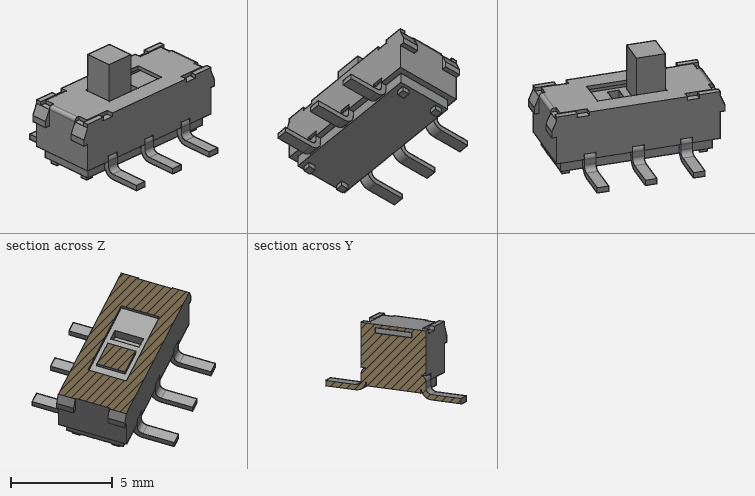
import cadquery as cq

HOUSING_WIDTH = 3.6
HOUSING_LENGTH = 8.5
HOUSING_BOTTOM = 0.9
HOUSING_TOP = 3.5
TOP_EDGE_RADIUS = 0.2

BASE_LENGTH = 7.88
BASE_BOTTOM = 0.28
PEG_SIZE = 0.4
PEG_SPACING_X = 2.1
PEG_SPACING_Y = 7.16

CLIP_WIDTH = 0.9
CLIP_SLOPE_BOTTOM = 2.72
CLIP_BOTTOM = 2.38
OVERALL_LENGTH = 9.0

RECESS_FLOOR = HOUSING_TOP - TOP_EDGE_RADIUS
RECESS_SIDE_WIDTH = 0.36
RECESS_SIDE_LENGTH = 1.7
RECESS_END_DEPTH = 0.3
WIDE_RECESS_EXTRA = 0.05
LIP_WIDTH = 0.3
LIP_LENGTH = 1.08

WINDOW_WIDTH = 1.65
WINDOW_LENGTH = 3.6
CAVITY_WIDTH = 2.0
CAVITY_LENGTH = 4.5
SLIDER_TOP = 3.05
ACTUATOR_SIZE = 1.5
ACTUATOR_CENTER_Y = -1.0
ACTUATOR_TOP = 5.5
POCKET_LENGTH = 0.59
POCKET_CENTER_Y = 0.45
POCKET_DEPTH = 0.48

LEAD_SPAN = 7.5
LEAD_WIDTH = 0.6
LEAD_PITCH = 2.5
LEAD_THICKNESS = 0.3
LEAD_BEND_RADIUS = 0.3

HALF_WIDTH = HOUSING_WIDTH / 2
HALF_LENGTH = HOUSING_LENGTH / 2
LEAD_INNER_X = HALF_WIDTH - LEAD_THICKNESS
BASE_WIDTH = 2 * LEAD_INNER_X


def block(x_range, y_range, z_range):
    """Box spanning the given (low, high) ranges."""
    size = [high - low for low, high in (x_range, y_range, z_range)]
    corner = (x_range[0], y_range[0], z_range[0])
    return cq.Workplane("XY").box(*size, centered=False).translate(corner)


def centered_block(width, length, center_y, z_range):
    """Box centred on X = 0 and on the given Y."""
    y_range = (center_y - length / 2, center_y + length / 2)
    return block((-width / 2, width / 2), y_range, z_range)


def at_corners(shape):
    """Copies of a +X +Y corner feature at all four corners."""
    pair = shape.union(shape.mirror("YZ"))
    return pair.union(pair.mirror("XZ"))


def make_housing():
    housing = centered_block(HOUSING_WIDTH, HOUSING_LENGTH, 0, (HOUSING_BOTTOM, HOUSING_TOP))
    return housing.faces(">Z").edges("|X").fillet(TOP_EDGE_RADIUS)


def make_corner_recess():
    z_range = (RECESS_FLOOR, HOUSING_TOP)
    along_side = block(
        (HALF_WIDTH - RECESS_SIDE_WIDTH, HALF_WIDTH),
        (HALF_LENGTH - RECESS_SIDE_LENGTH, HALF_LENGTH),
        z_range,
    )
    along_end = block(
        (HALF_WIDTH - CLIP_WIDTH, HALF_WIDTH),
        (HALF_LENGTH - RECESS_END_DEPTH, HALF_LENGTH),
        z_range,
    )
    return along_side.union(along_end)


def make_recess_extension():
    """Extra width of the one recess at the -X +Y corner."""
    inner_x = CLIP_WIDTH - HALF_WIDTH
    return block(
        (inner_x, inner_x + WIDE_RECESS_EXTRA),
        (HALF_LENGTH - RECESS_END_DEPTH, HALF_LENGTH),
        (RECESS_FLOOR, HOUSING_TOP),
    )


def make_lip():
    return block(
        (HALF_WIDTH - LIP_WIDTH, HALF_WIDTH),
        (HALF_LENGTH - LIP_LENGTH, HALF_LENGTH),
        (RECESS_FLOOR, HOUSING_TOP),
    )


def make_clip():
    """Wedge on the end face, rooted inside the housing wall."""
    root_y = HALF_LENGTH - RECESS_END_DEPTH
    profile = [
        (root_y, RECESS_FLOOR),
        (HALF_LENGTH, RECESS_FLOOR),
        (OVERALL_LENGTH / 2, CLIP_SLOPE_BOTTOM),
        (OVERALL_LENGTH / 2, CLIP_BOTTOM),
        (root_y, CLIP_BOTTOM),
    ]
    clip = cq.Workplane("YZ").polyline(profile).close().extrude(CLIP_WIDTH)
    return clip.translate((HALF_WIDTH - CLIP_WIDTH, 0, 0))


def make_peg():
    peg = cq.Workplane("XY").rect(PEG_SIZE, PEG_SIZE).extrude(BASE_BOTTOM)
    return peg.translate((PEG_SPACING_X / 2, PEG_SPACING_Y / 2, 0))


def make_lead_notch():
    """Notch in the lower edge of the +X wall that the lead leaves through."""
    return block(
        (LEAD_INNER_X, HALF_WIDTH),
        (-LEAD_WIDTH / 2, LEAD_WIDTH / 2),
        (HOUSING_BOTTOM, HOUSING_BOTTOM + LEAD_THICKNESS),
    )


def make_lead():
    """+X lead: rounded shoulder in the notch, straight leg, bend and flat foot."""
    outer_bend = LEAD_BEND_RADIUS + LEAD_THICKNESS
    bend_x = HALF_WIDTH + LEAD_BEND_RADIUS
    tip_x = LEAD_SPAN / 2
    profile = (
        cq.Workplane("XZ")
        .moveTo(LEAD_INNER_X, outer_bend)
        .lineTo(LEAD_INNER_X, HOUSING_BOTTOM + LEAD_THICKNESS)
        .radiusArc((HALF_WIDTH, HOUSING_BOTTOM), LEAD_THICKNESS)
        .lineTo(HALF_WIDTH, outer_bend)
        .radiusArc((bend_x, LEAD_THICKNESS), -LEAD_BEND_RADIUS)
        .lineTo(tip_x, LEAD_THICKNESS)
        .lineTo(tip_x, 0)
        .lineTo(bend_x, 0)
        .radiusArc((LEAD_INNER_X, outer_bend), outer_bend)
        .close()
    )
    return profile.extrude(LEAD_WIDTH / 2, both=True)


result = make_housing()
result = result.cut(at_corners(make_corner_recess()))
result = result.cut(make_recess_extension())
result = result.union(at_corners(make_lip()))
result = result.union(at_corners(make_clip()))
result = result.union(centered_block(BASE_WIDTH, BASE_LENGTH, 0, (BASE_BOTTOM, HOUSING_BOTTOM)))
result = result.union(at_corners(make_peg()))

window_range = (SLIDER_TOP, HOUSING_TOP)
cavity_range = (SLIDER_TOP, RECESS_FLOOR)
pocket_range = (SLIDER_TOP - POCKET_DEPTH, SLIDER_TOP)
actuator_range = (SLIDER_TOP, ACTUATOR_TOP)
result = result.cut(centered_block(WINDOW_WIDTH, WINDOW_LENGTH, 0, window_range))
result = result.cut(centered_block(CAVITY_WIDTH, CAVITY_LENGTH, 0, cavity_range))
result = result.cut(centered_block(ACTUATOR_SIZE, POCKET_LENGTH, POCKET_CENTER_Y, pocket_range))
result = result.union(centered_block(ACTUATOR_SIZE, ACTUATOR_SIZE, ACTUATOR_CENTER_Y, actuator_range))

notch = make_lead_notch()
lead = make_lead()
for row in (-1, 0, 1):
    for turn in (0, 180):
        offset = (0, row * LEAD_PITCH, 0)
        result = result.cut(notch.rotate((0, 0, 0), (0, 0, 1), turn).translate(offset))
        result = result.union(lead.rotate((0, 0, 0), (0, 0, 1), turn).translate(offset))